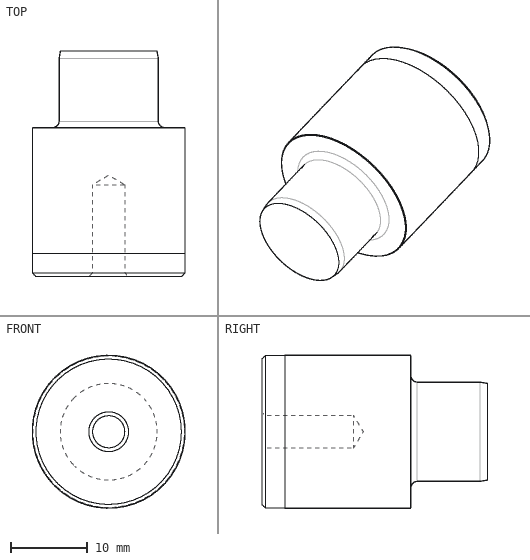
import cadquery as cq
import math

body_radius = 10.0
body_length = 19.5
shoulder_edge_break = 0.1

band_radius = 9.995
band_length = 3.0
band_chamfer = 0.5

spigot_radius = 6.5
spigot_length = 10.0
lead_in_length = 1.0
lead_in_angle = 10.0
root_fillet = 0.8

hole_radius = 2.1
hole_depth = 12.0
hole_tip_angle = 118.0
hole_mouth_chamfer = 0.5

front_y = -body_length
lead_in_drop = lead_in_length * math.tan(math.radians(lead_in_angle))
hole_tip_length = hole_radius / math.tan(math.radians(hole_tip_angle / 2))


def revolve_about_y(profile):
    """Turn a half profile, drawn as (radius, y), fully around the Y axis."""
    return profile.close().revolve(360, (0, 0, 0), (0, 1, 0))


def turned_body():
    """Cylinder with a chamfered front band and a spigot that has a filleted root and a tapered lead-in."""
    fillet_diagonal = root_fillet * (1 - math.sqrt(0.5))
    profile = (
        cq.Workplane("XY")
        .moveTo(0, front_y)
        .lineTo(band_radius - band_chamfer, front_y)
        .lineTo(band_radius, front_y + band_chamfer)
        .lineTo(band_radius, front_y + band_length)
        .lineTo(body_radius, front_y + band_length)
        .lineTo(body_radius, -shoulder_edge_break)
        .lineTo(body_radius - shoulder_edge_break, 0)
        .lineTo(spigot_radius + root_fillet, 0)
        .threePointArc(
            (spigot_radius + fillet_diagonal, fillet_diagonal),
            (spigot_radius, root_fillet),
        )
        .lineTo(spigot_radius, spigot_length - lead_in_length)
        .lineTo(spigot_radius - lead_in_drop, spigot_length)
        .lineTo(0, spigot_length)
    )
    return revolve_about_y(profile)


def drilled_hole():
    """Blind hole from the front face, with a chamfered mouth and a conical bottom."""
    profile = (
        cq.Workplane("XY")
        .moveTo(0, front_y)
        .lineTo(hole_radius + hole_mouth_chamfer, front_y)
        .lineTo(hole_radius, front_y + hole_mouth_chamfer)
        .lineTo(hole_radius, front_y + hole_depth)
        .lineTo(0, front_y + hole_depth + hole_tip_length)
    )
    return revolve_about_y(profile)


result = turned_body().cut(drilled_hole())